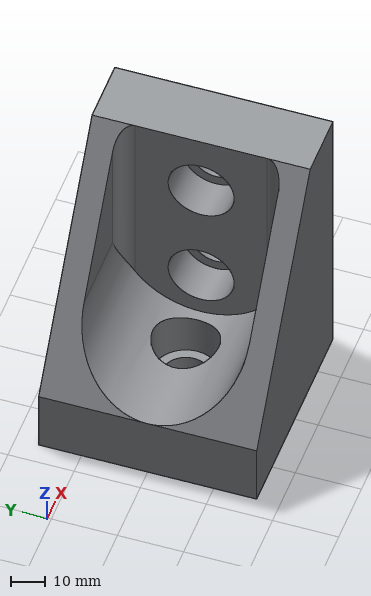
import cadquery as cq

length = 67.0
width = 66.0
height = 90.0
wall = 20.0

pocket_radius = 25.0
pocket_corner = 5.0
pocket_end = length - wall
pocket_axis_z = wall + pocket_radius

bolt_diameter = 14.0
head_diameter = 20.0
head_depth = 13.0
wall_bolt_heights = (35.0, 70.0)


def make_body():
    """Wedge-shaped bracket, centred on Y = 0."""
    outline = [(0, 0), (length, 0), (length, height), (pocket_end, height), (0, wall)]
    return cq.Workplane("XZ").polyline(outline).close().extrude(width / 2, both=True)


def make_pocket():
    """Round-bottomed trough whose upright inner corners are rounded."""
    trough = (
        cq.Workplane("YZ")
        .moveTo(-pocket_radius, height)
        .lineTo(-pocket_radius, pocket_axis_z)
        .threePointArc((0, wall), (pocket_radius, pocket_axis_z))
        .lineTo(pocket_radius, height)
        .close()
        .extrude(pocket_end)
    )
    plan = (
        cq.Workplane("XY")
        .box(pocket_end, 2 * pocket_radius, height, centered=(False, True, False))
        .edges("|Z and >X")
        .fillet(pocket_corner)
    )
    return trough.intersect(plan)


def make_bolt_cutter(seat, outward):
    """Bolt shank and head clearance; seat is the head shoulder, outward points into the pocket."""
    seat_plane = cq.Plane(origin=seat, xDir=(0, 1, 0), normal=outward)
    head = cq.Workplane(seat_plane).circle(head_diameter / 2).extrude(wall)
    shank = cq.Workplane(seat_plane).circle(bolt_diameter / 2).extrude(-wall)
    return head.union(shank)


result = make_body().cut(make_pocket())

for bolt_z in wall_bolt_heights:
    result = result.cut(make_bolt_cutter((pocket_end + head_depth, 0, bolt_z), (-1, 0, 0)))

result = result.cut(make_bolt_cutter((length / 2, 0, wall - head_depth), (0, 0, 1)))